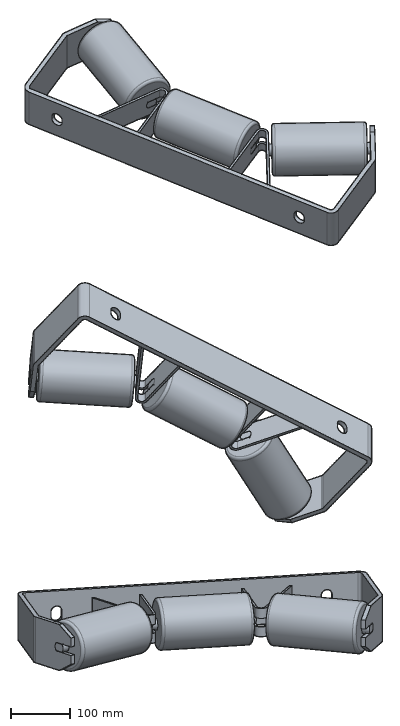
import cadquery as cq
import math


TROUGH_ANGLE = 30.0

ROLLER_DIAMETER = 89.0
ROLLER_LENGTH = 160.0
ROLLER_EDGE_RADIUS = 5.0
END_GAP = 5.5
SHAFT_DIAMETER = 20.0
SHAFT_FLAT_WIDTH = 14.0
SHAFT_SLOT_WIDTH = 15.0

FRAME_LENGTH = 600.0
FRAME_WIDTH = 81.0
FRAME_THICKNESS = 8.0
FRAME_BEND_RADIUS = 14.0
ARM_TIP_BEYOND_SHAFT = 30.0
ARM_CORNER_LENGTH = 30.0
ARM_CORNER_WIDTH = 17.3

MOUNTING_SLOT_SPACING = 465.0
MOUNTING_SLOT_WIDTH = 19.0
MOUNTING_SLOT_HEIGHT = 27.0

BRACKET_THICKNESS = 4.0
BRACKET_WIDTH = 50.0
BRACKET_BEND_RADIUS = 11.0
BRACKET_BEND_Y = 118.0
CENTRE_SHAFT_BELOW_BEND = 17.0
SIDE_SHAFT_BELOW_BEND = 15.0
WELD_DEPTH = 1.0

SIN = math.sin(math.radians(TROUGH_ANGLE))
COS = math.cos(math.radians(TROUGH_ANGLE))
PLATE_REACH = ROLLER_LENGTH / 2 + END_GAP
ARM_OUTER_REACH = PLATE_REACH + FRAME_THICKNESS
BRACKET_BEND_X = -PLATE_REACH - BRACKET_BEND_RADIUS
CENTRE_ROLLER_Y = BRACKET_BEND_Y - CENTRE_SHAFT_BELOW_BEND
BEND_TO_ROLLER = BRACKET_BEND_RADIUS + PLATE_REACH
SIDE_ROLLER_X = BRACKET_BEND_X - BEND_TO_ROLLER * COS - SIDE_SHAFT_BELOW_BEND * SIN
SIDE_ROLLER_Y = BRACKET_BEND_Y + BEND_TO_ROLLER * SIN - SIDE_SHAFT_BELOW_BEND * COS


def to_left_roller(shape):
    """Move a shape made around the origin, with its axis along X, to the left roller's place."""
    return shape.rotate((0, 0, 0), (0, 0, 1), -TROUGH_ANGLE).translate((SIDE_ROLLER_X, SIDE_ROLLER_Y, 0))


def cylinder(diameter, start_x, end_x):
    return cq.Workplane("YZ", origin=(start_x, 0, 0)).circle(diameter / 2).extrude(end_x - start_x)


def roller(left_plate, right_plate):
    """Drum with its shaft along X; the flatted shaft ends are as long as the plates are thick."""
    drum = cylinder(ROLLER_DIAMETER, -ROLLER_LENGTH / 2, ROLLER_LENGTH / 2)
    drum = drum.edges().fillet(ROLLER_EDGE_RADIUS)
    collars = cylinder(SHAFT_DIAMETER, -PLATE_REACH, PLATE_REACH)
    shaft_start = -PLATE_REACH - left_plate
    shaft_end = PLATE_REACH + right_plate
    flats = cq.Workplane("XY").box(2 * max(-shaft_start, shaft_end), SHAFT_DIAMETER, SHAFT_FLAT_WIDTH)
    shaft = cylinder(SHAFT_DIAMETER, shaft_start, shaft_end).intersect(flats)
    return drum.union(collars).union(shaft)


def shaft_slot(start_x, end_x, open_length):
    """Cutter for a slot with a bottom that fits the shaft, open towards +Y."""
    depth = end_x - start_x
    mid_x = (start_x + end_x) / 2
    opening = cq.Workplane("XY", origin=(mid_x, open_length / 2, 0)).box(depth, open_length, SHAFT_SLOT_WIDTH)
    width_limit = cq.Workplane("XY", origin=(mid_x, 0, 0)).box(depth, SHAFT_DIAMETER, SHAFT_SLOT_WIDTH)
    bottom = cylinder(SHAFT_DIAMETER, start_x, end_x).intersect(width_limit)
    return opening.union(bottom)


def left_bar():
    """Left half of the frame bar: base, upright and the arm that leans inwards."""
    left = -FRAME_LENGTH / 2
    shaft_at_face_x = SIDE_ROLLER_X - ARM_OUTER_REACH * COS
    shaft_at_face_y = SIDE_ROLLER_Y + ARM_OUTER_REACH * SIN
    tip_x = shaft_at_face_x + ARM_TIP_BEYOND_SHAFT * SIN
    tip_y = shaft_at_face_y + ARM_TIP_BEYOND_SHAFT * COS
    outer_bend_y = shaft_at_face_y - (shaft_at_face_x - left) * COS / SIN

    inner_left = left + FRAME_THICKNESS
    inner_bend_y = outer_bend_y - FRAME_THICKNESS * math.tan(math.radians(TROUGH_ANGLE / 2))
    bar = (
        cq.Workplane("XY")
        .moveTo(0, 0)
        .lineTo(left, 0)
        .lineTo(left, outer_bend_y)
        .lineTo(tip_x, tip_y)
        .lineTo(tip_x + FRAME_THICKNESS * COS, tip_y - FRAME_THICKNESS * SIN)
        .lineTo(inner_left, inner_bend_y)
        .lineTo(inner_left, FRAME_THICKNESS)
        .lineTo(0, FRAME_THICKNESS)
        .close()
        .extrude(FRAME_WIDTH)
        .translate((0, 0, -FRAME_WIDTH / 2))
    )
    inner_radius = FRAME_BEND_RADIUS - FRAME_THICKNESS
    for x, y, radius in (
        (left, 0, FRAME_BEND_RADIUS),
        (left, outer_bend_y, FRAME_BEND_RADIUS),
        (inner_left, inner_bend_y, inner_radius),
        (inner_left, FRAME_THICKNESS, inner_radius),
    ):
        bar = bar.edges(cq.selectors.NearestToPointSelector((x, y, 0))).fillet(radius)
    return bar


def arm_corners():
    """Cutter for both corners at the end of the left arm."""
    edge = FRAME_WIDTH / 2
    corner = (
        cq.Workplane("YZ", origin=(-ARM_OUTER_REACH, 0, 0))
        .moveTo(ARM_TIP_BEYOND_SHAFT, edge)
        .lineTo(ARM_TIP_BEYOND_SHAFT, edge - ARM_CORNER_WIDTH)
        .lineTo(ARM_TIP_BEYOND_SHAFT - ARM_CORNER_LENGTH, edge)
        .close()
        .extrude(FRAME_THICKNESS)
    )
    return to_left_roller(corner.union(corner.mirror("XY")))


def mounting_slot():
    return (
        cq.Workplane("XZ", origin=(-MOUNTING_SLOT_SPACING / 2, 0, 0))
        .slot2D(MOUNTING_SLOT_HEIGHT, MOUNTING_SLOT_WIDTH, 90)
        .extrude(-FRAME_THICKNESS)
    )


def left_bracket():
    """Strip bent to a V, with one slot that runs over the bend and holds a shaft in each leg."""
    outer_radius = BRACKET_BEND_RADIUS
    inner_radius = outer_radius - BRACKET_THICKNESS
    foot_y = FRAME_THICKNESS - WELD_DEPTH
    leaning_length = (BRACKET_BEND_Y + inner_radius * SIN - foot_y) / COS
    mid_bend = math.radians((180 - TROUGH_ANGLE) / 2)

    def on_leaning_leg(radius, below_bend):
        x = BRACKET_BEND_X - radius * COS - below_bend * SIN
        y = BRACKET_BEND_Y + radius * SIN - below_bend * COS
        return (x, y)

    def on_mid_bend(radius):
        x = BRACKET_BEND_X + radius * math.cos(mid_bend)
        y = BRACKET_BEND_Y + radius * math.sin(mid_bend)
        return (x, y)

    strip = (
        cq.Workplane("XY")
        .moveTo(BRACKET_BEND_X + outer_radius, foot_y)
        .lineTo(BRACKET_BEND_X + outer_radius, BRACKET_BEND_Y)
        .threePointArc(on_mid_bend(outer_radius), on_leaning_leg(outer_radius, 0))
        .lineTo(*on_leaning_leg(outer_radius, leaning_length))
        .lineTo(*on_leaning_leg(inner_radius, leaning_length))
        .lineTo(*on_leaning_leg(inner_radius, 0))
        .threePointArc(on_mid_bend(inner_radius), (BRACKET_BEND_X + inner_radius, BRACKET_BEND_Y))
        .lineTo(BRACKET_BEND_X + inner_radius, foot_y)
        .close()
        .extrude(BRACKET_WIDTH)
        .translate((0, 0, -BRACKET_WIDTH / 2))
    )
    upright_slot = shaft_slot(BRACKET_BEND_X, -PLATE_REACH, CENTRE_SHAFT_BELOW_BEND + outer_radius)
    leaning_slot = shaft_slot(PLATE_REACH, BEND_TO_ROLLER, SIDE_SHAFT_BELOW_BEND + outer_radius)
    upright_slot = upright_slot.translate((0, CENTRE_ROLLER_Y, 0))
    return strip.cut(upright_slot).cut(to_left_roller(leaning_slot))


def left_frame_half():
    arm_slot = shaft_slot(-ARM_OUTER_REACH, -PLATE_REACH, ARM_TIP_BEYOND_SHAFT)
    bar = left_bar().cut(arm_corners()).cut(to_left_roller(arm_slot)).cut(mounting_slot())
    return bar.union(left_bracket())


def frame_with_centre_roller():
    """Both frame halves and the centre roller, whose shaft is fixed in the brackets' upright legs."""
    left_half = left_frame_half()
    bar_and_brackets = left_half.union(left_half.mirror("YZ"))
    centre_roller = roller(BRACKET_THICKNESS, BRACKET_THICKNESS).translate((0, CENTRE_ROLLER_Y, 0))
    return bar_and_brackets.union(centre_roller, clean=False)


def left_side_roller():
    return to_left_roller(roller(FRAME_THICKNESS, BRACKET_THICKNESS))


frame = frame_with_centre_roller()
left_roller = left_side_roller()
right_roller = left_roller.mirror("YZ")

result = cq.Compound.makeCompound([
    frame.solids().val(),
    left_roller.solids().val(),
    right_roller.solids().val(),
])